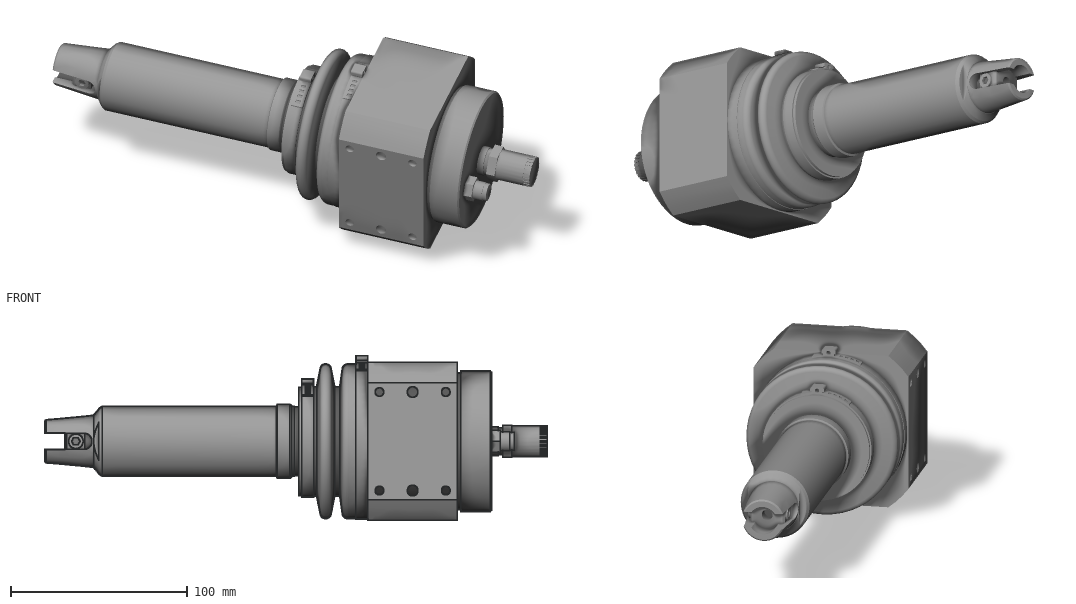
import cadquery as cq
import math


NOSE_TIP_R = 12.3
NOSE_BASE_R = 14.8
NOSE_CHAMFER = 0.9
NOSE_END = 28.0
NOSE_BORE_R = 8.15
SLOT_WIDTH = 9.0
SLOT_END = 26.8
CORE_START = 11.5
CORE_HOLE_DIA = 6.3
CORE_HOLE_DEPTH = 7.0
PAD_END = 22.8
PAD_HALF_SPAN = 10.0
PAD_CHAMFER = 1.0
SCREW_X = 17.7
SCREW_HEAD_DIA = 8.3
SCREW_HEAD_HEIGHT = 1.5
SCREW_SOCKET_DIA = 4.9
SCREW_SOCKET_DEPTH = 2.0

BARREL_R = 20.0
BARREL_START = 32.8
SHOULDER_START_R = 15.0
SHOULDER_END = 31.0
SHOULDER_END_R = 18.8
FLATS_ACROSS = 30.0
FLATS_END = 30.8
COLLAR_R = 21.0
COLLAR_START = 131.5
COLLAR_STEP = 0.5
COLLAR_END = 139.3
COLLAR_CHAMFER_END = 140.5
NECK_START = 142.0
NECK_R = 19.7
FLANGE_R = 28.0

CUFF_START = 144.2
CUFF_R = 30.8
FRONT_BAND_START = 146.0
FRONT_BAND_END = 152.8
FRONT_BAND_R = 31.7
VALLEY_R = 31.0
LOBE_R = 44.0
LOBE_FLANK_R = 41.0
LOBE_CENTER = 159.5
LOBE_TIP_HALF = 3.0
LOBE_ROOT_HALF = 5.0
REAR_LOBE_ROOT = 167.5
REAR_LOBE_FLANK = 169.0
REAR_LOBE_CREST = 172.8
REAR_BAND_START = 176.8
REAR_BAND_R = 44.3

STRAP_THICKNESS = 0.5
STRAP_Y_MIN = -18.5
STRAP_Y_MAX = 9.7
WINDOW_COUNT = 4
WINDOW_FIRST_Y = -6.9
WINDOW_PITCH = 3.0
WINDOW_LENGTH_X = 2.9
WINDOW_WIDTH_Y = 1.7
EAR_WIDTH = 8.0
EAR_NECK_WIDTH = 6.3
EAR_HEAD_HEIGHT = 2.5
EAR_ROUND = 1.0
EAR_EYE_DIA = 2.5
EAR_EYE_DROP = 2.0
FRONT_EAR_TOP = 35.5
OUTER_HEIGHT = 93.7

BLOCK_START = 183.5
BLOCK_END = 234.5
BLOCK_SIZE = 90.0
BLOCK_CORNER_R = 56.0
CAP_NECK_R = 38.8
CAP_START = 236.5
CAP_END = 253.9
CAP_R = 40.0
CAP_CHAMFER = 0.9

HOLE_MID_X = 209.0
HOLE_PITCH_X = 18.8
HOLE_HALF_PITCH_Z = 28.0
SMALL_HOLE_DIA = 4.9
LARGE_HOLE_DIA = 6.0
HOLE_FLOOR_R = 34.3

PLUG_END = 285.5
PLUG_R = 8.9
PLUG_SHOULDER_END = 257.5
PLUG_SHOULDER_R = 8.3
PLUG_NECK_R = 7.7
PLUG_NUT_START = 260.0
PLUG_NUT_END = 265.3
PLUG_NUT_DIA = 21.0
KNURL_START = 281.5
KNURL_COUNT = 24
KNURL_GROOVE = 0.9
FITTING_Y = -24.8
FITTING_NUT_DIA = 14.3
FITTING_NUT_END = 258.7
FITTING_BODY_DIA = 10.5
FITTING_BODY_END = 264.0
FITTING_TIP_DIA = 10.0
FITTING_TIP_END = 266.7


def box(x_range, y_range, z_range):
    """Box given by its limits along each axis."""
    corner = cq.Vector(x_range[0], y_range[0], z_range[0])
    size = [high - low for low, high in (x_range, y_range, z_range)]
    return cq.Workplane(cq.Solid.makeBox(*size, corner))


def rod(start, end, radius, y=0.0):
    """Round bar along X."""
    plane = cq.Workplane("YZ", origin=(start, y, 0))
    return plane.circle(radius).extrude(end - start)


def hex_bar(start, end, corner_dia, y=0.0):
    """Hexagonal bar along X with corners toward +Y and -Y."""
    plane = cq.Workplane("YZ", origin=(start, y, 0))
    return plane.polygon(6, corner_dia).extrude(end - start)


def turn(profile):
    """Revolve a half profile drawn in XY about the X axis."""
    return profile.close().revolve(360, (0, 0, 0), (1, 0, 0))


def spindle_blank():
    profile = cq.Workplane("XY").polyline([
        (0, 0),
        (0, NOSE_TIP_R - NOSE_CHAMFER),
        (NOSE_CHAMFER, NOSE_TIP_R),
        (NOSE_END, NOSE_BASE_R),
        (NOSE_END, SHOULDER_START_R),
        (SHOULDER_END, SHOULDER_END_R),
        (BARREL_START, BARREL_R),
        (COLLAR_START, BARREL_R),
        (COLLAR_START + COLLAR_STEP, COLLAR_R),
        (COLLAR_END, COLLAR_R),
        (COLLAR_CHAMFER_END, BARREL_R),
        (NECK_START, BARREL_R),
        (NECK_START, NECK_R),
        (CUFF_START, NECK_R),
        (CUFF_START, FLANGE_R),
        (FRONT_BAND_END, FLANGE_R),
        (FRONT_BAND_END, 0),
    ])
    return turn(profile)


def wrench_flats():
    """Material outside the two flats on the front shoulder."""
    half = FLATS_ACROSS / 2
    sides = box((NOSE_END, FLATS_END), (half, BARREL_R), (-BARREL_R, BARREL_R))
    return sides.union(sides.mirror("XZ"))


def nose_slot():
    """Slot through the nose along Y with a round inner end."""
    radius = SLOT_WIDTH / 2
    center_x = SLOT_END - radius
    straight = box((0, center_x), (-NOSE_BASE_R, NOSE_BASE_R), (-radius, radius))
    round_end = (
        cq.Workplane("XZ", origin=(center_x, 0, 0))
        .circle(radius)
        .extrude(NOSE_BASE_R, both=True)
    )
    return straight.union(round_end)


def slot_pads():
    """Core and the two screwed pads that fill the inner part of the slot."""
    half = SLOT_WIDTH / 2
    core = rod(CORE_START, NOSE_END, NOSE_BORE_R)
    pads = box((CORE_START, PAD_END), (-PAD_HALF_SPAN, PAD_HALF_SPAN), (-half, half))
    pads = pads.faces("<X").edges("|Z").chamfer(PAD_CHAMFER)
    head_y = PAD_HALF_SPAN + SCREW_HEAD_HEIGHT
    plane = cq.Workplane("XZ", origin=(SCREW_X, 0, 0))
    heads = plane.circle(SCREW_HEAD_DIA / 2).extrude(head_y, both=True)
    below_sockets = plane.circle(SCREW_HEAD_DIA).extrude(head_y - SCREW_SOCKET_DEPTH, both=True)
    sockets = plane.polygon(6, SCREW_SOCKET_DIA).extrude(head_y, both=True).cut(below_sockets)
    return core.union(pads).union(heads).cut(sockets)


def make_spindle():
    spindle = spindle_blank().cut(wrench_flats()).cut(nose_slot())
    spindle = spindle.cut(rod(0, CORE_START, NOSE_BORE_R))
    spindle = spindle.union(slot_pads())
    return spindle.cut(rod(CORE_START, CORE_START + CORE_HOLE_DEPTH, CORE_HOLE_DIA / 2))


def bellows():
    """Bellows with its front cuff and both clamp bands, open toward the spindle flange."""
    lobe_start = LOBE_CENTER - LOBE_ROOT_HALF
    lobe_end = LOBE_CENTER + LOBE_ROOT_HALF
    crest_angle = math.radians(45)
    rear_length = REAR_LOBE_CREST - REAR_LOBE_FLANK
    rear_mid = (
        REAR_LOBE_CREST - rear_length * math.cos(crest_angle),
        LOBE_FLANK_R + (LOBE_R - LOBE_FLANK_R) * math.sin(crest_angle),
    )
    profile = (
        cq.Workplane("XY")
        .moveTo(CUFF_START, FLANGE_R)
        .lineTo(CUFF_START, CUFF_R)
        .lineTo(FRONT_BAND_START, CUFF_R)
        .lineTo(FRONT_BAND_START, FRONT_BAND_R)
        .lineTo(FRONT_BAND_END, FRONT_BAND_R)
        .lineTo(FRONT_BAND_END, VALLEY_R)
        .lineTo(lobe_start, VALLEY_R)
        .lineTo(LOBE_CENTER - LOBE_TIP_HALF, LOBE_FLANK_R)
        .threePointArc((LOBE_CENTER, LOBE_R), (LOBE_CENTER + LOBE_TIP_HALF, LOBE_FLANK_R))
        .lineTo(lobe_end, VALLEY_R)
        .lineTo(REAR_LOBE_ROOT, VALLEY_R)
        .lineTo(REAR_LOBE_FLANK, LOBE_FLANK_R)
        .threePointArc(rear_mid, (REAR_LOBE_CREST, LOBE_R))
        .lineTo(REAR_BAND_START, LOBE_R)
        .lineTo(REAR_BAND_START, REAR_BAND_R)
        .lineTo(BLOCK_START, REAR_BAND_R)
        .lineTo(BLOCK_START, 0)
        .lineTo(FRONT_BAND_END, 0)
        .lineTo(FRONT_BAND_END, FLANGE_R)
    )
    return turn(profile)


def clamp_clip(start, end, band_r, ear_top):
    """Overlapping strap with windows, and the ear with its eye on top of a clamp band."""
    strap_r = band_r + STRAP_THICKNESS
    strap = rod(start, end, strap_r).cut(rod(start, end, band_r - STRAP_THICKNESS))
    strap = strap.intersect(box((start, end), (STRAP_Y_MIN, STRAP_Y_MAX), (0, strap_r)))

    mid_x = (start + end) / 2
    x_window = (mid_x - WINDOW_LENGTH_X / 2, mid_x + WINDOW_LENGTH_X / 2)
    outside_band = box(x_window, (STRAP_Y_MIN, 0), (0, ear_top)).cut(rod(start, end, band_r))
    for index in range(WINDOW_COUNT):
        y = WINDOW_FIRST_Y - index * WINDOW_PITCH
        y_window = (y - WINDOW_WIDTH_Y / 2, y + WINDOW_WIDTH_Y / 2)
        strap = strap.cut(outside_band.intersect(box(x_window, y_window, (0, ear_top))))

    def ear_part(width, bottom):
        return box((start, end), (-width / 2, width / 2), (bottom, ear_top))

    neck = ear_part(EAR_NECK_WIDTH, band_r - STRAP_THICKNESS)
    neck = neck.edges("|X and >Z").fillet(EAR_ROUND)
    head = ear_part(EAR_WIDTH, ear_top - EAR_HEAD_HEIGHT).edges("|X and >Z").fillet(EAR_ROUND)
    eye = rod(start, end, EAR_EYE_DIA / 2).translate((0, 0, ear_top - EAR_EYE_DROP))
    return strap.union(neck).union(head).cut(eye)


def block():
    """Square block whose corners are turned to a common radius."""
    half = BLOCK_SIZE / 2
    square = box((BLOCK_START, BLOCK_END), (-half, half), (-half, half))
    return square.intersect(rod(BLOCK_START, BLOCK_END, BLOCK_CORNER_R))


def mounting_hole(x, z, diameter):
    """Hole running inward along Y from the -Y face of the block to its axis plane."""
    plane = cq.Workplane("XZ", origin=(x, 0, z))
    return plane.circle(diameter / 2).extrude(BLOCK_SIZE / 2)


def mounting_holes():
    """Two rows of holes that stop at a cylindrical floor around the main axis."""
    holes = cq.Workplane("XY")
    for z in (-HOLE_HALF_PITCH_Z, HOLE_HALF_PITCH_Z):
        holes = holes.add(mounting_hole(HOLE_MID_X, z, LARGE_HOLE_DIA))
        for side in (-1, 1):
            holes = holes.add(mounting_hole(HOLE_MID_X + side * HOLE_PITCH_X, z, SMALL_HOLE_DIA))
    return holes.combine().cut(rod(BLOCK_START, BLOCK_END, HOLE_FLOOR_R))


def rear_cap():
    neck = rod(BLOCK_END, CAP_START, CAP_NECK_R)
    cap = rod(CAP_START, CAP_END, CAP_R).faces(">X").chamfer(CAP_CHAMFER)
    return neck.union(cap)


def plug():
    """Central plug: shoulder, neck, hexagonal nut and sleeve with a knurled end."""
    shoulder = rod(CAP_END, PLUG_SHOULDER_END, PLUG_SHOULDER_R)
    neck = rod(PLUG_SHOULDER_END, PLUG_NUT_START, PLUG_NECK_R)
    nut = hex_bar(PLUG_NUT_START, PLUG_NUT_END, PLUG_NUT_DIA)
    sleeve = rod(PLUG_NUT_END, PLUG_END, PLUG_R)
    half = KNURL_GROOVE / 2
    groove = box((KNURL_START, PLUG_END), (-half, half), (PLUG_R - half, PLUG_R + half))
    for index in range(KNURL_COUNT):
        angle = index * 360 / KNURL_COUNT
        sleeve = sleeve.cut(groove.rotate((0, 0, 0), (1, 0, 0), angle))
    return shoulder.union(neck).union(nut).union(sleeve)


def fitting():
    """Small stepped fitting beside the plug."""
    nut = hex_bar(CAP_END, FITTING_NUT_END, FITTING_NUT_DIA, FITTING_Y)
    body = rod(FITTING_NUT_END, FITTING_BODY_END, FITTING_BODY_DIA / 2, FITTING_Y)
    tip = rod(FITTING_BODY_END, FITTING_TIP_END, FITTING_TIP_DIA / 2, FITTING_Y)
    return nut.union(body).union(tip)


def make_housing():
    rear_ear_top = OUTER_HEIGHT - BLOCK_SIZE / 2
    housing = bellows().union(block()).union(rear_cap()).union(plug()).union(fitting())
    housing = housing.union(clamp_clip(FRONT_BAND_START, FRONT_BAND_END, FRONT_BAND_R, FRONT_EAR_TOP))
    housing = housing.union(clamp_clip(REAR_BAND_START, BLOCK_START, REAR_BAND_R, rear_ear_top))
    return housing.cut(mounting_holes())


spindle = make_spindle()
housing = make_housing()
result = cq.Compound.makeCompound([spindle.solids().val(), housing.solids().val()])